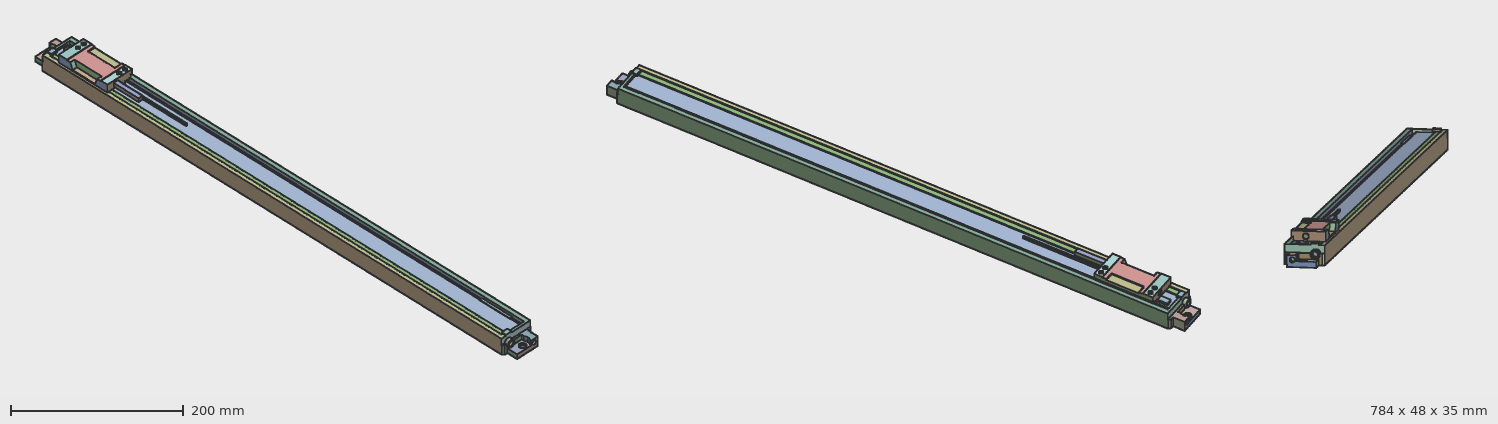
import cadquery as cq

TOTAL_LENGTH = 784.0
RAIL_WIDTH = 48.0
RAIL_HEIGHT = 23.5
TOTAL_HEIGHT = 35.0
HALF_LENGTH = TOTAL_LENGTH / 2
TAB_LENGTH = 16.0
CAP_THICKNESS = 3.0
TAB_HEIGHT = 14.0
CAP_CHAMFER = 2.0
RAIL_HALF_LENGTH = HALF_LENGTH - TAB_LENGTH - CAP_THICKNESS

CHANNEL_END_WALL = 4.0
CHANNEL_HALF_LENGTH = RAIL_HALF_LENGTH - CHANNEL_END_WALL
FLOOR_FRONT_Y = -11.0
FLOOR_BACK_Y = 12.5
FLOOR_Z = 20.0
BACK_GROOVE_Y = 17.0
BACK_GROOVE_Z = 18.0
FRONT_LEDGE_Y = -18.0
FRONT_LEDGE_Z = 22.0
FRONT_LEDGE_SETBACK = 2.0
CLIP_START_X = 301.0
CLIP_END_X = 350.5
CLIP_TOP_Z = 19.5

BUMP_LENGTH = 7.0
BUMP_FRONT_Y = -16.5
BUMP_BACK_Y = -7.0
BUMP_HEIGHT = 1.5

TAB_WIDTH = 34.5
SEAT_HEIGHT = 7.0
SEAT_BACK_Y = 6.0
FIXING_HOLE_INSET = 7.0
FIXING_HOLE_Y = -1.0
FIXING_HOLE_DIAMETER = 6.0
COUNTERBORE_DIAMETER = 9.5
COUNTERBORE_DEPTH = 2.0
SCREW_CLEARANCE_DIAMETER = 17.0
SOCKET_Y = 11.0
SOCKET_Z = 9.0
SOCKET_DIAMETER = 6.0
SOCKET_DEPTH = 8.0
PORT_Y = -13.0
PORT_Z = 13.0
PORT_DIAMETER = 11.0
PORT_BORE_DIAMETER = 7.0
PORT_OVERHANG = 2.0

CARRIAGE_START_X = -350.5
CARRIAGE_LENGTH = 79.0
CARRIAGE_WIDTH = 41.0
CARRIAGE_END_X = CARRIAGE_START_X + CARRIAGE_LENGTH
UNDERCUT_WIDTH = 2.0
UNDERCUT_TOP_Z = 28.0
LEFT_BLOCK_LENGTH = 13.0
RIGHT_BLOCK_LENGTH = 11.0
MIDDLE_RELIEF = 1.0
MIDDLE_START_X = CARRIAGE_START_X + LEFT_BLOCK_LENGTH
MIDDLE_LENGTH = CARRIAGE_LENGTH - LEFT_BLOCK_LENGTH - RIGHT_BLOCK_LENGTH

SCREW_BACK_Y = 14.0
SCREW_FRONT_Y = 5.0
SCREW_HEAD_DIAMETER = 5.5
SCREW_HEAD_DEPTH = 2.0
SCREW_HOLE_DIAMETER = 3.0
SCREW_HOLE_DEPTH = 6.0
POCKET_MARGIN = 5.5
POCKET_LENGTH = MIDDLE_LENGTH - 2 * POCKET_MARGIN
POCKET_WIDTH = 7.0
POCKET_DEPTH = 9.5
POCKET_RAMP_LENGTH = 4.0
STEP_WIDTH = 12.0
STEP_DEPTH = 1.5
TONGUE_START_X = -364.0
TONGUE_FRONT_Y = 1.5
TONGUE_BACK_Y = 9.5
INLET_Y = 3.0
INLET_Z = 29.0
INLET_DIAMETER = 7.0
INLET_DEPTH = 2.0

CABLE_WIDTH = 2.0
CABLE_BOTTOM_Z = 24.0
CABLE_TOP_Z = 27.0
CABLE_END_X = -162.0
PLUG_END_X = -230.5
PLUG_FRONT_Y = -10.0
PLUG_BACK_Y = -3.0
PLUG_BOTTOM_Z = 27.0
PLUG_TOP_Z = 32.0


def box_between(x0, x1, y0, y1, z0, z1):
    """Return a box that fills the given ranges."""
    return cq.Workplane("XY").box(x1 - x0, y1 - y0, z1 - z0, centered=False).translate((x0, y0, z0))


def rod_z(x, y, z0, z1, diameter):
    """Return an upright cylinder."""
    return cq.Workplane("XY", origin=(x, y, z0)).circle(diameter / 2).extrude(z1 - z0)


def rod_x(x0, x1, y, z, diameter):
    """Return a cylinder that runs along the rail."""
    return cq.Workplane("YZ", origin=(x0, y, z)).circle(diameter / 2).extrude(x1 - x0)


def make_rail_profile():
    """Return the long extrusion with its floor, back groove and front ledge."""
    half_width = RAIL_WIDTH / 2
    beam = box_between(-RAIL_HALF_LENGTH, RAIL_HALF_LENGTH, -half_width, half_width, 0, RAIL_HEIGHT)
    channel_end = CHANNEL_HALF_LENGTH
    ledge_end = CHANNEL_HALF_LENGTH - FRONT_LEDGE_SETBACK
    floor = box_between(-channel_end, channel_end, FLOOR_FRONT_Y, FLOOR_BACK_Y, FLOOR_Z, RAIL_HEIGHT)
    groove = box_between(-channel_end, channel_end, FLOOR_BACK_Y, BACK_GROOVE_Y, BACK_GROOVE_Z, RAIL_HEIGHT)
    ledge = box_between(-ledge_end, ledge_end, FRONT_LEDGE_Y, FLOOR_FRONT_Y, FRONT_LEDGE_Z, RAIL_HEIGHT)
    clip = box_between(CLIP_START_X, CLIP_END_X, FLOOR_BACK_Y, BACK_GROOVE_Y, BACK_GROOVE_Z, CLIP_TOP_Z)
    return beam.cut(floor).cut(groove).cut(ledge).union(clip)


def make_rail_end():
    """Return the -X end: cap, bump, port and fixing tab."""
    tab_end = -HALF_LENGTH + TAB_LENGTH
    rail_end = -RAIL_HALF_LENGTH
    half_width = RAIL_WIDTH / 2
    cap = box_between(tab_end, rail_end, -half_width, half_width, 0, TAB_HEIGHT)
    cap = cap.edges("|Z and <X").chamfer(CAP_CHAMFER)
    bump = box_between(
        rail_end, rail_end + BUMP_LENGTH, BUMP_FRONT_Y, BUMP_BACK_Y, FRONT_LEDGE_Z, RAIL_HEIGHT + BUMP_HEIGHT
    )

    half_tab = TAB_WIDTH / 2
    hole_x = -HALF_LENGTH + FIXING_HOLE_INSET
    tab = box_between(-HALF_LENGTH, tab_end, -half_tab, half_tab, 0, TAB_HEIGHT)
    seat = box_between(-HALF_LENGTH, tab_end, -half_tab, SEAT_BACK_Y, SEAT_HEIGHT, TAB_HEIGHT)
    clearance = rod_z(hole_x, FIXING_HOLE_Y, SEAT_HEIGHT, TAB_HEIGHT, SCREW_CLEARANCE_DIAMETER)
    hole = rod_z(hole_x, FIXING_HOLE_Y, 0, SEAT_HEIGHT, FIXING_HOLE_DIAMETER)
    counterbore = rod_z(
        hole_x, FIXING_HOLE_Y, SEAT_HEIGHT - COUNTERBORE_DEPTH, SEAT_HEIGHT, COUNTERBORE_DIAMETER
    )
    socket = rod_x(-HALF_LENGTH, -HALF_LENGTH + SOCKET_DEPTH, SOCKET_Y, SOCKET_Z, SOCKET_DIAMETER)
    tab = tab.cut(seat).cut(clearance).cut(counterbore).cut(hole).cut(socket)

    port_start = tab_end - PORT_OVERHANG
    port = rod_x(port_start, rail_end, PORT_Y, PORT_Z, PORT_DIAMETER)
    bore = rod_x(port_start, rail_end, PORT_Y, PORT_Z, PORT_BORE_DIAMETER)
    return cap.union(bump).union(tab).union(port).cut(bore)


def make_rail():
    """Return the rail with mirrored ends."""
    end = make_rail_end()
    return make_rail_profile().union(end).union(end.mirror("YZ"))


def make_carriage_block():
    """Return the carriage block, undercut along its back, with a lowered middle."""
    half_width = CARRIAGE_WIDTH / 2
    block = box_between(
        CARRIAGE_START_X, CARRIAGE_END_X, -half_width, half_width, RAIL_HEIGHT, TOTAL_HEIGHT
    )
    undercut = box_between(
        CARRIAGE_START_X, CARRIAGE_END_X, half_width - UNDERCUT_WIDTH, half_width, RAIL_HEIGHT, UNDERCUT_TOP_Z
    )
    middle_top = TOTAL_HEIGHT - MIDDLE_RELIEF
    relief = box_between(
        MIDDLE_START_X, MIDDLE_START_X + MIDDLE_LENGTH, -half_width, half_width, middle_top, TOTAL_HEIGHT
    )
    return block.cut(undercut).cut(relief)


def cut_middle_details(block):
    """Cut the ramped front pocket and the shallow back step into the middle of the block."""
    half_width = CARRIAGE_WIDTH / 2
    start = MIDDLE_START_X + POCKET_MARGIN
    end = start + POCKET_LENGTH
    middle_top = TOTAL_HEIGHT - MIDDLE_RELIEF
    pocket_floor = middle_top - POCKET_DEPTH
    pocket = (
        cq.Workplane("XZ", origin=(0, -half_width + POCKET_WIDTH, 0))
        .moveTo(start, middle_top)
        .lineTo(start + POCKET_RAMP_LENGTH, pocket_floor)
        .lineTo(end - POCKET_RAMP_LENGTH, pocket_floor)
        .lineTo(end, middle_top)
        .close()
        .extrude(POCKET_WIDTH)
    )
    step = box_between(
        start, end, half_width - STEP_WIDTH, half_width, middle_top - STEP_DEPTH, TOTAL_HEIGHT
    )
    return block.cut(pocket).cut(step)


def cut_screw_holes(block):
    """Sink two counterbored screw holes into each end block."""
    for x in (CARRIAGE_START_X + LEFT_BLOCK_LENGTH / 2, CARRIAGE_END_X - RIGHT_BLOCK_LENGTH / 2):
        for y in (SCREW_FRONT_Y, SCREW_BACK_Y):
            head = rod_z(x, y, TOTAL_HEIGHT - SCREW_HEAD_DEPTH, TOTAL_HEIGHT, SCREW_HEAD_DIAMETER)
            hole = rod_z(x, y, TOTAL_HEIGHT - SCREW_HOLE_DEPTH, TOTAL_HEIGHT, SCREW_HOLE_DIAMETER)
            block = block.cut(head).cut(hole)
    return block


def make_carriage():
    """Return the carriage with its tongue on the rail floor, its cable inlet, its cable and its plug."""
    block = cut_screw_holes(cut_middle_details(make_carriage_block()))
    tongue = box_between(
        TONGUE_START_X, CARRIAGE_END_X, TONGUE_FRONT_Y, TONGUE_BACK_Y, FLOOR_Z, RAIL_HEIGHT
    )
    cable = box_between(
        CARRIAGE_END_X, CABLE_END_X, -CABLE_WIDTH / 2, CABLE_WIDTH / 2, CABLE_BOTTOM_Z, CABLE_TOP_Z
    )
    plug = box_between(
        CARRIAGE_END_X, PLUG_END_X, PLUG_FRONT_Y, PLUG_BACK_Y, PLUG_BOTTOM_Z, PLUG_TOP_Z
    )
    inlet = rod_x(
        CARRIAGE_START_X, CARRIAGE_START_X + INLET_DEPTH, INLET_Y, INLET_Z, INLET_DIAMETER
    )
    return block.cut(inlet).union(tongue).union(cable).union(plug)


rail = make_rail()
carriage = make_carriage()

result = cq.Compound.makeCompound([rail.val(), carriage.val()])